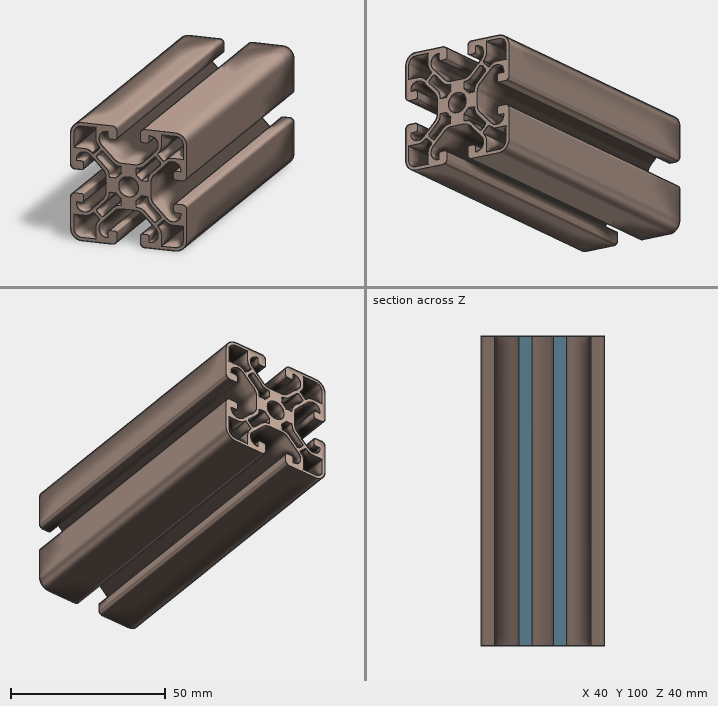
import cadquery as cq
import math

width = 40.0
length = 100.0
corner_radius = 4.0
bore_diameter = 6.8

slot_opening = 8.1
lip_depth = 4.5
lip_width = 3.0
lip_outer_radius = 1.5
lip_inner_radius = 0.7
lip_root_radius = 0.15
cavity_depth = 2.0
cavity_side = 10.15
core_width = 15.4
core_corner_radius = 3.9
diagonal_offset = 3.87

skin_wall = 1.15
web_wall = 1.2
core_wall = 1.0

pocket_foot_radius = 0.4

hollow_start = 2.55
hollow_bevel = 1.85
hollow_end_radius = 0.6
hollow_start_radius = 0.5
hollow_bend_radius = 3.4

cross_web_reach = 14.95

half_width = width / 2
half_core = core_width / 2
lip_inner_x = slot_opening / 2
lip_outer_x = lip_inner_x + lip_width
lip_bottom = half_width - lip_depth
cavity_top = half_width - cavity_depth
core_corner_x = half_core - diagonal_offset
cavity_foot = cavity_side + diagonal_offset
cavity_radius = (cavity_top - cavity_foot) / (1 + math.tan(math.pi / 8))

shortest_line = 1e-6


def diagonal_mirror(corners):
    """Mirror corners across the quadrant diagonal, in the order that continues the outline."""
    return [(z, x, radius) for x, z, radius in reversed(corners)]


def round_corner(before, corner, after, radius):
    """Return the start, middle and end of the arc that rounds a corner."""
    to_before = (cq.Vector(*before) - cq.Vector(*corner)).normalized()
    to_after = (cq.Vector(*after) - cq.Vector(*corner)).normalized()
    half_angle = to_before.getAngle(to_after) / 2
    tangent_length = radius / math.tan(half_angle)
    middle_distance = radius / math.sin(half_angle) - radius
    bisector = (to_before + to_after).normalized()
    origin = cq.Vector(*corner)
    start = origin + to_before * tangent_length
    middle = origin + bisector * middle_distance
    end = origin + to_after * tangent_length
    return start, middle, end


def extruded_outline(corners):
    """Extrude a closed outline of (x, z, corner radius) along the whole profile length."""
    pieces = []
    for index, (x, z, radius) in enumerate(corners):
        before = corners[index - 1][:2]
        after = corners[(index + 1) % len(corners)][:2]
        if radius > 0:
            pieces.append(round_corner(before, (x, z), after, radius))
        else:
            pieces.append((cq.Vector(x, z),))
    edges = []
    for index, piece in enumerate(pieces):
        previous_end = pieces[index - 1][-1]
        if (piece[0] - previous_end).Length > shortest_line:
            edges.append(cq.Edge.makeLine(previous_end, piece[0]))
        if len(piece) > 1:
            edges.append(cq.Edge.makeThreePointArc(*piece))
    wire = cq.Wire.assembleEdges(edges)
    upright = wire.rotate(cq.Vector(0, 0, 0), cq.Vector(1, 0, 0), 90)
    face = cq.Face.makeFromWires(upright)
    return cq.Workplane(cq.Solid.extrudeLinear(face, cq.Vector(0, length, 0)))


def make_body():
    """Solid profile: four T-slots and rounded corners, before any hollows."""
    half_quadrant = [
        (core_corner_x, half_core, core_corner_radius),
        (cavity_side, cavity_foot, cavity_radius),
        (cavity_side, cavity_top, cavity_radius),
        (lip_outer_x, cavity_top, lip_root_radius),
        (lip_outer_x, lip_bottom, lip_inner_radius),
        (lip_inner_x, lip_bottom, lip_inner_radius),
        (lip_inner_x, half_width, lip_outer_radius),
    ]
    outer_corner = (half_width, half_width, corner_radius)
    quadrant = half_quadrant + [outer_corner] + diagonal_mirror(half_quadrant)
    outline = []
    for cos_turn, sin_turn in ((1, 0), (0, -1), (-1, 0), (0, 1)):
        for x, z, radius in quadrant:
            outline.append((x * cos_turn - z * sin_turn, x * sin_turn + z * cos_turn, radius))
    return extruded_outline(outline)


def make_corner_pocket():
    """Hollow behind the rounded corner of the +X +Z quadrant."""
    inner = half_width - skin_wall
    side = cavity_side + skin_wall
    bend_radius = cavity_radius + skin_wall
    web_sum = math.sqrt(2) * cross_web_reach + web_wall / math.sqrt(2)
    arm_offset = diagonal_offset - math.sqrt(2) * skin_wall
    foot = ((web_sum - arm_offset) / 2, (web_sum + arm_offset) / 2, pocket_foot_radius)
    half = [
        foot,
        (side, side + arm_offset, bend_radius),
        (side, inner, 0),
    ]
    outer_corner = (inner, inner, corner_radius - skin_wall)
    return extruded_outline(half + [outer_corner] + diagonal_mirror(half))


def make_arm_hollow():
    """Slender hollow along the diagonal arm of the +X +Z quadrant."""
    web_sum = math.sqrt(2) * cross_web_reach - web_wall / math.sqrt(2)
    arm_offset = diagonal_offset - math.sqrt(2) * web_wall
    floor = half_core - core_wall
    half = [
        (hollow_start, hollow_start + hollow_bevel, 0),
        (hollow_start, floor, hollow_start_radius),
        (floor - arm_offset, floor, hollow_bend_radius),
        ((web_sum - arm_offset) / 2, (web_sum + arm_offset) / 2, hollow_end_radius),
    ]
    return extruded_outline(half + diagonal_mirror(half))


def make_bore():
    """Central bore through the whole length."""
    return cq.Workplane("XZ").circle(bore_diameter / 2).extrude(-length)


result = make_body().cut(make_bore())
for opening in (make_corner_pocket(), make_arm_hollow()):
    for turn in (0, 90, 180, 270):
        result = result.cut(opening.rotate((0, 0, 0), (0, 1, 0), turn))